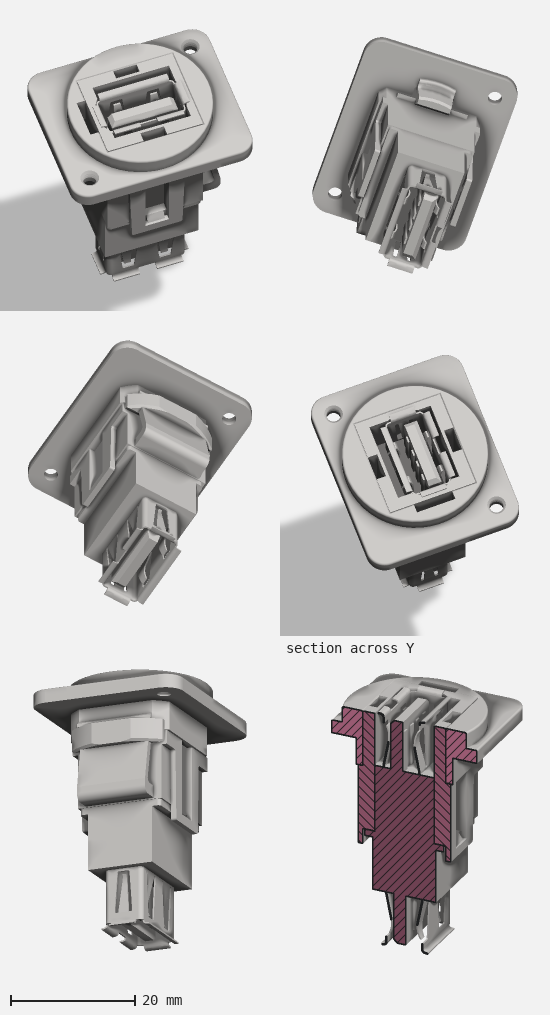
import cadquery as cq
import math


FLANGE_X = 26.0
FLANGE_Y = 31.0
FLANGE_T = 2.4
FLANGE_CORNER_R = 3.0
RIM_R = 0.35
DISC_R = 11.8
DISC_TOP = 5.2
SCREW_X = 9.5
SCREW_Y = 12.0
SCREW_D = 2.25
SCREW_SINK_D = 3.0
THREAD_D = 2.68
THREAD_PITCH = 0.5
THREAD_GROOVES = 2
WINDOW_CHAMFER = 0.2
SKIRT_HALF_X = 8.65
SKIRT_BACK_Y = 9.88
SKIRT_CHAMFER = 1.0
SKIRT_BOTTOM = -4.77
LATCH_Z = -3.2
SKIRT_STEP_Y = 8.55
LIP_REACH = 0.65
LIP_HALF_X = 6.45
LIP_EDGE = 0.6
LIP_SLOPE = 0.5

HOOK_INNER_Y = -9.55
HOOK_LEG_R = 10.65
HOOK_ROOT_T = 0.95
HOOK_ROOT_R = 0.38
HOOK_FILLET_R = 0.6
HOOK_BOTTOM = -5.5
HOOK_TOP_HALF_X = 3.1
HOOK_TIP_HALF_X = 2.75
HOOK_NOSE_T = 0.45
HOOK_TIP_Y = -9.13
LATCH_CHAMFER = 0.38
HOOK_SLOT_Y = -9.65
HOOK_SLOT_HALF_X = 3.3

KEY_HALF_X = 7.35
KEY_HALF_Y = 8.15
KEY_BOTTOM = -16.15
SHOULDER_HALF_X = 8.3
SHOULDER_BOTTOM = -7.1
CORE_HALF_X = 5.27
CORE_HALF_Y = 6.55
CORE_SHIFT_Y = 0.3
BULGE_HALF_X = 3.47
BULGE_RISE = 1.25
BULGE_CHORD_Y = CORE_HALF_Y - CORE_SHIFT_Y
TAB_TOP_HALF_Y = 4.7
TAB_TIP_HALF_Y = 4.3
TAB_BOTTOM = -18.85
TAB_CORNER_R = 0.35
SLOT_HALF_Y = 2.0
SLOT_FLOOR_X = 5.78
WEDGE_HALF_X = 5.95
WEDGE_H = 1.8
WEDGE_REACH = 0.88

ARM_HALF_X = 6.0
ARM_OUTER_Y = 11.68
ARM_T = 1.1
ARM_FOOT_TOP = -13.95
ARM_FOOT_BOTTOM = -15.95
ARM_OUTER_R = 1.17
ARM_INNER_R = 0.75
ARM_BEND_Z = -13.65
ARM_HEAD_Y = 10.42
HEAD_HALF_X = 7.95
HEAD_INNER_Y = 8.3
HEAD_BOTTOM = -7.0
HEAD_R = 12.2
HEAD_CHAMFER = 0.85

NECK_HALF_X = 7.07
INSERT_HALF_Y = 8.05
NECK_BOTTOM = -17.3
NECK_CORNER_R = 0.6
BLOCK_HALF_X = 5.65
BLOCK_BOTTOM = -26.7
TOOTH_HALF_Y = 1.45
TOOTH_REACH = 0.8
TOP_MOUTH = 5.5
TOP_SOCKET_X = 0.5
TOTAL_HEIGHT = 41.85
BOTTOM_MOUTH = TOP_MOUTH - TOTAL_HEIGHT
SOCKET_DEPTH = BLOCK_BOTTOM - BOTTOM_MOUTH
TOP_FLOOR = TOP_MOUTH - SOCKET_DEPTH

SHELL_X = 6.65
SHELL_Y = 13.35
SHELL_T = 0.25
SHELL_CORNER_R = 0.75
FLARE_DEPTH = 0.7
FLARE_REACH = 0.88
LONG_FLARE = 11.9
SHORT_FLARE = 4.3
FLARE_GAP = 2.95
SIDE_SPRING_Y = 3.15
WINDOW_CORNER_R = 0.25
SIDE_WINDOW = (1.7, 2.0, 9.38, 3.65)
SIDE_SPRING = (2.25, 1.17, 9.38, 2.8)
END_WINDOW = (2.25, 3.1, 9.2, 2.1)
END_SPRING = (2.25, 1.85, 8.8, 0.6)
SIDE_SPRING_PATH = ((0, 9.38), (0.85, 5.25), (0.4, 2.25))
END_SPRING_PATH = ((0, 2.25), (0.55, 7.75), (0.38, 8.8))
TONGUE_X0 = -0.3
TONGUE_T = 2.25
TONGUE_HALF_Y = 5.65
TONGUE_DEPTH = 0.85
TONGUE_CHAMFER = 0.7
CONTACT_T = 0.3
CONTACT_W = 1.05
CONTACT_DEPTH = 2.5
CONTACT_YS = (-3.47, -1.0, 1.0, 3.47)


def block(x0, x1, y0, y1, z0, z1):
    """Box between two opposite corners."""
    return cq.Workplane("XY").box(x1 - x0, y1 - y0, z1 - z0, centered=False).translate((x0, y0, z0))


def centered_block(half_x, half_y, z0, z1):
    """Box centred on the Z axis."""
    return block(-half_x, half_x, -half_y, half_y, z0, z1)


def along_x(yz_points, half_x):
    """Prism with a YZ outline, reaching half_x to both sides of x = 0."""
    return cq.Workplane("YZ").polyline(yz_points).close().extrude(half_x, both=True)


def cylinder(radius, z0, z1):
    return cq.Workplane("XY").workplane(offset=z0).circle(radius).extrude(z1 - z0)



def screw_hole_cutter():
    """Threaded hole with a countersink, as one revolved outline."""
    hole_r = SCREW_D / 2
    sink_r = SCREW_SINK_D / 2
    groove_r = THREAD_D / 2
    points = [(0, FLANGE_T), (sink_r, FLANGE_T), (hole_r, FLANGE_T - (sink_r - hole_r))]
    for i in range(THREAD_GROOVES):
        groove_top = FLANGE_T - (sink_r - hole_r) - i * THREAD_PITCH
        points.append((groove_r, groove_top - THREAD_PITCH / 2))
        points.append((hole_r, groove_top - THREAD_PITCH))
    points += [(hole_r, 0), (0, 0)]
    return cq.Workplane("XZ").polyline(points).close().revolve(360, (0, 0), (0, 1))


def flange():
    plate = cq.Workplane("XY").rect(FLANGE_X, FLANGE_Y).extrude(FLANGE_T)
    plate = plate.edges("|Z").fillet(FLANGE_CORNER_R).faces(">Z").edges().fillet(RIM_R)
    for side in (-1, 1):
        plate = plate.cut(screw_hole_cutter().translate((side * SCREW_X, -side * SCREW_Y, 0)))
    return plate


def skirt():
    """Wall below the flange, open at -Y, with a catch lip along its +Y side."""
    walls = block(-SKIRT_HALF_X, SKIRT_HALF_X, -KEY_HALF_Y, SKIRT_BACK_Y, SKIRT_BOTTOM, 0)
    walls = walls.edges("|Z and <Y").chamfer(SKIRT_CHAMFER)
    walls = walls.intersect(cylinder(DISC_R, SKIRT_BOTTOM, 0))
    walls = walls.cut(block(-SKIRT_HALF_X, SKIRT_HALF_X, SKIRT_STEP_Y, SKIRT_BACK_Y, SKIRT_BOTTOM, LATCH_Z))
    lip_y = SKIRT_BACK_Y + LIP_REACH
    lip = along_x(
        [
            (SKIRT_BACK_Y, LATCH_Z),
            (lip_y, LATCH_Z),
            (lip_y, LATCH_Z + LIP_EDGE),
            (SKIRT_BACK_Y, LATCH_Z + LIP_EDGE + LIP_SLOPE),
        ],
        LIP_HALF_X,
    )
    return walls.union(lip)


def hook():
    """Tapered leg that hangs from the flange, its nose pointing at the housing."""
    turned = (
        cq.Workplane("XZ")
        .lineTo(DISC_R, 0)
        .lineTo(DISC_R, HOOK_ROOT_R - HOOK_ROOT_T)
        .tangentArcPoint((DISC_R - HOOK_ROOT_R, -HOOK_ROOT_T), relative=False)
        .lineTo(HOOK_LEG_R + HOOK_FILLET_R, -HOOK_ROOT_T)
        .tangentArcPoint((HOOK_LEG_R, -HOOK_ROOT_T - HOOK_FILLET_R), relative=False)
        .lineTo(HOOK_LEG_R, HOOK_BOTTOM + LATCH_CHAMFER)
        .lineTo(HOOK_LEG_R - LATCH_CHAMFER, HOOK_BOTTOM)
        .lineTo(0, HOOK_BOTTOM)
        .close()
        .revolve(360, (0, 0), (0, 1))
    )
    side_outline = along_x(
        [
            (HOOK_INNER_Y, 0),
            (HOOK_INNER_Y, LATCH_Z),
            (-KEY_HALF_Y, LATCH_Z),
            (-KEY_HALF_Y, LATCH_Z - HOOK_NOSE_T),
            (HOOK_TIP_Y, HOOK_BOTTOM),
            (-DISC_R, HOOK_BOTTOM),
            (-DISC_R, 0),
        ],
        HOOK_TOP_HALF_X,
    )
    taper = (
        cq.Workplane("XZ")
        .polyline(
            [
                (-HOOK_TOP_HALF_X, 0),
                (HOOK_TOP_HALF_X, 0),
                (HOOK_TIP_HALF_X, HOOK_BOTTOM),
                (-HOOK_TIP_HALF_X, HOOK_BOTTOM),
            ]
        )
        .close()
        .extrude(DISC_R)
    )
    return side_outline.intersect(taper).intersect(turned)


def make_panel():
    disc = cylinder(DISC_R, 0, DISC_TOP).faces(">Z").edges().fillet(RIM_R)
    body = flange().union(disc).union(skirt())
    body = body.cut(centered_block(KEY_HALF_X, KEY_HALF_Y, SKIRT_BOTTOM, DISC_TOP))
    window_edge = (
        cq.Workplane("XY")
        .workplane(offset=DISC_TOP)
        .rect(2 * (KEY_HALF_X + WINDOW_CHAMFER), 2 * (KEY_HALF_Y + WINDOW_CHAMFER))
        .extrude(-WINDOW_CHAMFER, taper=45)
    )
    hook_slot = block(-HOOK_SLOT_HALF_X, HOOK_SLOT_HALF_X, HOOK_SLOT_Y, -KEY_HALF_Y, 0, DISC_TOP)
    return body.cut(window_edge).cut(hook_slot).union(hook())



def core(top):
    """Block filling the bore of the housing from its lower end up to the given height."""
    return centered_block(CORE_HALF_X, CORE_HALF_Y, KEY_BOTTOM, top).translate((0, CORE_SHIFT_Y, 0))


def side_plate(side):
    """Shoulder below the skirt, with a tapered tab for the snap slot hanging from it."""
    plate = (
        cq.Workplane("YZ")
        .workplane(offset=KEY_HALF_X)
        .polyline(
            [
                (-KEY_HALF_Y, SKIRT_BOTTOM),
                (KEY_HALF_Y, SKIRT_BOTTOM),
                (KEY_HALF_Y, SHOULDER_BOTTOM),
                (TAB_TOP_HALF_Y, SHOULDER_BOTTOM),
                (TAB_TIP_HALF_Y, TAB_BOTTOM),
                (-TAB_TIP_HALF_Y, TAB_BOTTOM),
                (-TAB_TOP_HALF_Y, SHOULDER_BOTTOM),
                (-KEY_HALF_Y, SHOULDER_BOTTOM),
            ]
        )
        .close()
        .extrude(SHOULDER_HALF_X - KEY_HALF_X)
    )
    tab_zone = cq.selectors.BoxSelector(
        (KEY_HALF_X, -TAB_TOP_HALF_Y - TAB_CORNER_R, TAB_BOTTOM - TAB_CORNER_R),
        (SHOULDER_HALF_X, TAB_TOP_HALF_Y + TAB_CORNER_R, SHOULDER_BOTTOM + TAB_CORNER_R),
    )
    plate = plate.edges("|X").edges(tab_zone).fillet(TAB_CORNER_R)
    return plate if side > 0 else plate.mirror("YZ")


def side_slot(side):
    reach = sorted((side * SLOT_FLOOR_X, side * SHOULDER_HALF_X))
    return block(*reach, -SLOT_HALF_Y, SLOT_HALF_Y, NECK_BOTTOM, DISC_TOP)


def flare_relief(side):
    """Arc-shaped widening of the bore beside the upper socket, at its +Y or -Y end."""
    return (
        cq.Workplane("XY")
        .workplane(offset=TOP_FLOOR)
        .moveTo(TOP_SOCKET_X - BULGE_HALF_X, side * BULGE_CHORD_Y)
        .threePointArc(
            (TOP_SOCKET_X, side * (BULGE_CHORD_Y + BULGE_RISE)),
            (TOP_SOCKET_X + BULGE_HALF_X, side * BULGE_CHORD_Y),
        )
        .close()
        .extrude(DISC_TOP - TOP_FLOOR)
    )


def spring_arm():
    """Release arm rising from the foot of the +Y face, with a latch head under the panel lip."""
    strip = (
        cq.Workplane("YZ")
        .moveTo(KEY_HALF_Y, ARM_FOOT_BOTTOM)
        .lineTo(ARM_OUTER_Y - ARM_OUTER_R, ARM_FOOT_BOTTOM)
        .tangentArcPoint((ARM_OUTER_Y, ARM_FOOT_BOTTOM + ARM_OUTER_R), relative=False)
        .lineTo(ARM_OUTER_Y, ARM_BEND_Z)
        .lineTo(ARM_HEAD_Y, HEAD_BOTTOM)
        .lineTo(ARM_HEAD_Y - ARM_T, HEAD_BOTTOM)
        .lineTo(ARM_OUTER_Y - ARM_T, ARM_FOOT_TOP + ARM_INNER_R)
        .threePointArc(
            (
                ARM_OUTER_Y - ARM_T - ARM_INNER_R * (1 - math.sqrt(0.5)),
                ARM_FOOT_TOP + ARM_INNER_R * (1 - math.sqrt(0.5)),
            ),
            (ARM_OUTER_Y - ARM_T - ARM_INNER_R, ARM_FOOT_TOP),
        )
        .lineTo(KEY_HALF_Y, ARM_FOOT_TOP)
        .close()
        .extrude(ARM_HALF_X, both=True)
    )
    head_round = cylinder(HEAD_R, HEAD_BOTTOM, LATCH_Z).faces("<Z").chamfer(LATCH_CHAMFER)
    head = along_x(
        [
            (HEAD_INNER_Y, SKIRT_BOTTOM),
            (SKIRT_STEP_Y, SKIRT_BOTTOM),
            (SKIRT_STEP_Y, LATCH_Z),
            (ARM_OUTER_Y, LATCH_Z),
            (ARM_OUTER_Y, HEAD_BOTTOM),
            (HEAD_INNER_Y + HEAD_CHAMFER, HEAD_BOTTOM),
            (HEAD_INNER_Y, HEAD_BOTTOM + HEAD_CHAMFER),
        ],
        HEAD_HALF_X,
    ).intersect(head_round)
    return strip.union(head)


def make_keystone():
    body = centered_block(KEY_HALF_X, KEY_HALF_Y, KEY_BOTTOM, DISC_TOP)
    wedge = along_x(
        [
            (-KEY_HALF_Y, LATCH_Z),
            (-KEY_HALF_Y - WEDGE_REACH, LATCH_Z),
            (-KEY_HALF_Y, LATCH_Z + WEDGE_H),
        ],
        WEDGE_HALF_X,
    )
    body = body.union(wedge).union(spring_arm())
    body = body.cut(core(DISC_TOP))
    for side in (-1, 1):
        body = body.union(side_plate(side)).cut(side_slot(side)).cut(flare_relief(side))
    return body



def wall_trapezoid(shape, thickness):
    """Trapezoid in the XZ plane below z = 0, thickened to both sides in Y."""
    near_depth, near_width, far_depth, far_width = shape
    return (
        cq.Workplane("XZ")
        .polyline(
            [
                (-near_width / 2, -near_depth),
                (near_width / 2, -near_depth),
                (far_width / 2, -far_depth),
                (-far_width / 2, -far_depth),
            ]
        )
        .close()
        .extrude(thickness, both=True)
    )


def wall_spring(shape, path):
    """Bent spring strip; its root lies in the wall whose outer face is y = 0, inside is +Y."""
    root, bend, tip = [(reach, -depth) for reach, depth in path]
    strip = (
        cq.Workplane("YZ")
        .moveTo(*root)
        .lineTo(*bend)
        .tangentArcPoint(tip, relative=False)
        .wire()
        .offset2D(SHELL_T / 2)
        .extrude(SHELL_X / 2, both=True)
        .translate((0, SHELL_T / 2, 0))
    )
    return strip.intersect(wall_trapezoid(shape, SHELL_X / 2))


def flare(width):
    """Rim strip curling outward (to -Y) from the wall whose outer face is y = 0."""
    up = (0, 1)
    down = (0, -1)
    outward = (-1, 0)
    inward = (1, 0)
    return (
        cq.Workplane("YZ")
        .moveTo(SHELL_T, -FLARE_DEPTH)
        .spline([(-FLARE_REACH, 0)], tangents=[up, outward], includeCurrent=True)
        .lineTo(-FLARE_REACH, -SHELL_T)
        .spline([(0, -FLARE_DEPTH)], tangents=[inward, down], includeCurrent=True)
        .close()
        .extrude(width)
        .translate((-width / 2, 0, 0))
    )


def tongue():
    """Contact carrier in the mouth, with four contacts on its -X face."""
    carrier = block(
        TONGUE_X0,
        TONGUE_X0 + TONGUE_T,
        -TONGUE_HALF_Y,
        TONGUE_HALF_Y,
        -SOCKET_DEPTH,
        -TONGUE_DEPTH,
    )
    carrier = carrier.faces(">Z").edges(">X or >Y or <Y").chamfer(TONGUE_CHAMFER)
    for y in CONTACT_YS:
        contact = block(
            TONGUE_X0 - CONTACT_T,
            TONGUE_X0,
            y - CONTACT_W / 2,
            y + CONTACT_W / 2,
            -SOCKET_DEPTH,
            -CONTACT_DEPTH,
        )
        carrier = carrier.union(contact)
    return carrier


def on_side_wall(shape, side, along):
    """Moves a shape built on the y = 0 wall to the -X (side -1) or +X wall, at y = along."""
    turned = shape.rotate((0, 0, 0), (0, 0, 1), 90 * side)
    return turned.translate((side * SHELL_X / 2, along, 0))


def on_end_wall(shape, side):
    """Moves a shape built on the y = 0 wall to the -Y (side -1) or +Y wall."""
    turned = shape if side < 0 else shape.rotate((0, 0, 0), (0, 0, 1), 180)
    return turned.translate((0, side * SHELL_Y / 2, 0))


def make_socket():
    """Socket facing up with its mouth at z = 0."""
    height = SOCKET_DEPTH - FLARE_DEPTH
    tube = cq.Workplane("XY").workplane(offset=-SOCKET_DEPTH).rect(SHELL_X, SHELL_Y).extrude(height)
    tube = tube.edges("|Z").fillet(SHELL_CORNER_R)
    bore = cq.Workplane("XY").workplane(offset=-SOCKET_DEPTH)
    bore = bore.rect(SHELL_X - 2 * SHELL_T, SHELL_Y - 2 * SHELL_T).extrude(height)
    tube = tube.cut(bore.edges("|Z").fillet(SHELL_CORNER_R - SHELL_T))

    side_window = wall_trapezoid(SIDE_WINDOW, 2 * SHELL_T).edges("|Y").fillet(WINDOW_CORNER_R)
    end_window = wall_trapezoid(END_WINDOW, 2 * SHELL_T).edges("|Y").fillet(WINDOW_CORNER_R)
    side_spring = wall_spring(SIDE_SPRING, SIDE_SPRING_PATH)
    end_spring = wall_spring(END_SPRING, END_SPRING_PATH)
    for side in (-1, 1):
        tube = tube.cut(on_end_wall(end_window, side)).union(on_end_wall(end_spring, side))
        tube = tube.union(on_end_wall(flare(SHORT_FLARE), side))
        for along in (-SIDE_SPRING_Y, SIDE_SPRING_Y):
            tube = tube.cut(on_side_wall(side_window, side, along))
            tube = tube.union(on_side_wall(side_spring, side, along))

    long_flare = on_side_wall(flare(LONG_FLARE), -1, 0)
    split_flare = on_side_wall(flare(LONG_FLARE).cut(flare(FLARE_GAP)), 1, 0)
    return tube.union(long_flare).union(split_flare).union(tongue())


def snap_tooth(side):
    """Ramp that clicks into the slot of a housing tab."""
    tooth = (
        cq.Workplane("XZ")
        .polyline(
            [
                (SLOT_FLOOR_X, KEY_BOTTOM),
                (NECK_HALF_X, KEY_BOTTOM),
                (NECK_HALF_X + TOOTH_REACH, NECK_BOTTOM),
                (SLOT_FLOOR_X, NECK_BOTTOM),
            ]
        )
        .close()
        .extrude(TOOTH_HALF_Y, both=True)
    )
    return tooth if side > 0 else tooth.mirror("YZ")


def make_insert():
    body = centered_block(NECK_HALF_X, INSERT_HALF_Y, NECK_BOTTOM, KEY_BOTTOM)
    body = body.edges("|Z").fillet(NECK_CORNER_R)
    body = body.union(centered_block(BLOCK_HALF_X, INSERT_HALF_Y, BLOCK_BOTTOM, NECK_BOTTOM))
    body = body.union(core(TOP_FLOOR))
    for side in (-1, 1):
        body = body.union(snap_tooth(side))
    socket = make_socket()
    top_socket = socket.translate((TOP_SOCKET_X, 0, TOP_MOUTH))
    bottom_socket = socket.rotate((0, 0, 0), (1, 0, 0), 180).translate((0, 0, BOTTOM_MOUTH))
    return body.union(top_socket).union(bottom_socket)


panel = make_panel()
keystone = make_keystone()
insert = make_insert()
result = cq.Compound.makeCompound([panel.solids().val(), keystone.solids().val(), insert.solids().val()])